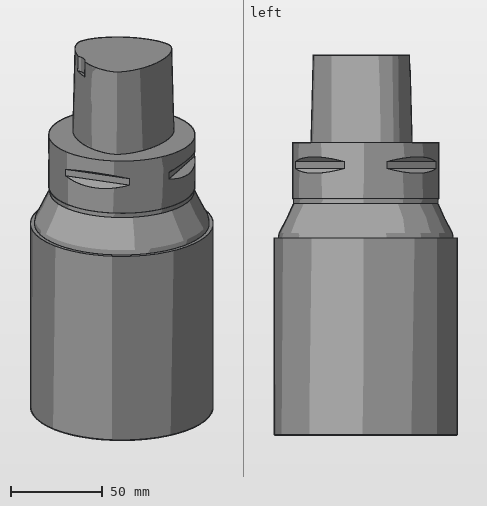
import cadquery as cq
import math

sleeve_diameter = 100.0
sleeve_height = 108.2
bottom_chamfer = 0.6

total_height = 208.0
cone_bottom_z = 110.7
neck_bottom_z = 126.9
flange_bottom_z = 129.5
flange_top_z = 160.2

collar_radius = 47.8
cone_bottom_radius = 47.5
neck_radius = 79.0 / 2
flange_radius = 80.0 / 2
neck_fillet = 0.52

notch_count = 4
notch_first_angle = 45.0
notch_z = 147.9
notch_floor_distance = 35.4
notch_floor_height = 3.7
notch_mouth_height = 9.0

shank_base_width = 55.3
shank_taper = 1 / 20
lobe_amplitude = 2.3
lobe_count = 3
lobe_half_angle = 35.0
points_per_segment = 9

scoop_width = 10.0
scoop_height = 8.5
scoop_depth = 1.7


def lobed_point(width, angle):
    """Point of the constant-width curve whose outward normal has this angle."""
    phase = lobe_count * (angle - math.pi / 2)
    support = width / 2 + lobe_amplitude * math.cos(phase)
    slope = -lobe_count * lobe_amplitude * math.sin(phase)
    return cq.Vector(
        support * math.cos(angle) - slope * math.sin(angle),
        support * math.sin(angle) + slope * math.cos(angle),
    )


def lobed_wire(width, z):
    """Closed outline made of alternating lobe and flank curves."""
    pitch = 360 / lobe_count
    edges = []
    for lobe in range(lobe_count):
        tip = 90 + lobe * pitch
        stops = [tip - lobe_half_angle, tip + lobe_half_angle, tip + pitch - lobe_half_angle]
        for start, end in zip(stops, stops[1:]):
            step = (end - start) / (points_per_segment - 1)
            angles = [math.radians(start + i * step) for i in range(points_per_segment)]
            tangents = [cq.Vector(-math.sin(a), math.cos(a)) for a in (angles[0], angles[-1])]
            points = [lobed_point(width, a) + cq.Vector(0, 0, z) for a in angles]
            edges.append(cq.Edge.makeSpline(points, tangents=tangents))
    return cq.Wire.assembleEdges(edges)


def make_sleeve():
    blank = cq.Workplane("XY").circle(sleeve_diameter / 2).extrude(sleeve_height)
    return blank.faces("<Z").edges().chamfer(bottom_chamfer)


def make_turned_body():
    """Flange, neck and cone, with a small fillet under the flange."""
    return (
        cq.Workplane("XZ")
        .moveTo(0, sleeve_height)
        .lineTo(collar_radius, sleeve_height)
        .lineTo(cone_bottom_radius, cone_bottom_z)
        .lineTo(neck_radius, neck_bottom_z)
        .lineTo(neck_radius, flange_bottom_z - neck_fillet)
        .radiusArc((neck_radius + neck_fillet, flange_bottom_z), neck_fillet)
        .lineTo(flange_radius, flange_top_z)
        .lineTo(0, flange_top_z)
        .close()
        .revolve(360, (0, 0, 0), (0, 1, 0))
    )


def make_notch_cutter(angle):
    """Straight bar with a trapezoid section that widens outwards."""
    half_floor = notch_floor_height / 2
    half_mouth = notch_mouth_height / 2
    flare = (half_mouth - half_floor) / (flange_radius - notch_floor_distance)
    outer_distance = 2 * flange_radius - notch_floor_distance
    half_outer = half_floor + flare * (outer_distance - notch_floor_distance)
    return (
        cq.Workplane("XZ")
        .moveTo(notch_floor_distance, notch_z - half_floor)
        .lineTo(outer_distance, notch_z - half_outer)
        .lineTo(outer_distance, notch_z + half_outer)
        .lineTo(notch_floor_distance, notch_z + half_floor)
        .close()
        .extrude(flange_radius, both=True)
        .rotate((0, 0, 0), (0, 0, 1), angle)
    )


def make_shank():
    top_width = shank_base_width - shank_taper * (total_height - flange_top_z)
    base = lobed_wire(shank_base_width, flange_top_z)
    top = lobed_wire(top_width, total_height)
    shank = cq.Workplane(cq.Solid.makeLoft([base, top], True))

    scoop_radius = ((scoop_width / 2) ** 2 + scoop_depth**2) / (2 * scoop_depth)
    flank_y = lobed_point(top_width, -math.pi / 2).y
    scoop = (
        cq.Workplane("XY", origin=(0, flank_y + scoop_depth - scoop_radius, total_height - scoop_height))
        .circle(scoop_radius)
        .extrude(scoop_height)
    )
    return shank.cut(scoop)


def make_holder():
    holder = make_turned_body().union(make_shank())
    for i in range(notch_count):
        holder = holder.cut(make_notch_cutter(notch_first_angle + i * 360 / notch_count))
    return holder


sleeve = make_sleeve()
holder = make_holder()
result = cq.Compound.makeCompound([sleeve.val(), *holder.solids().vals()])